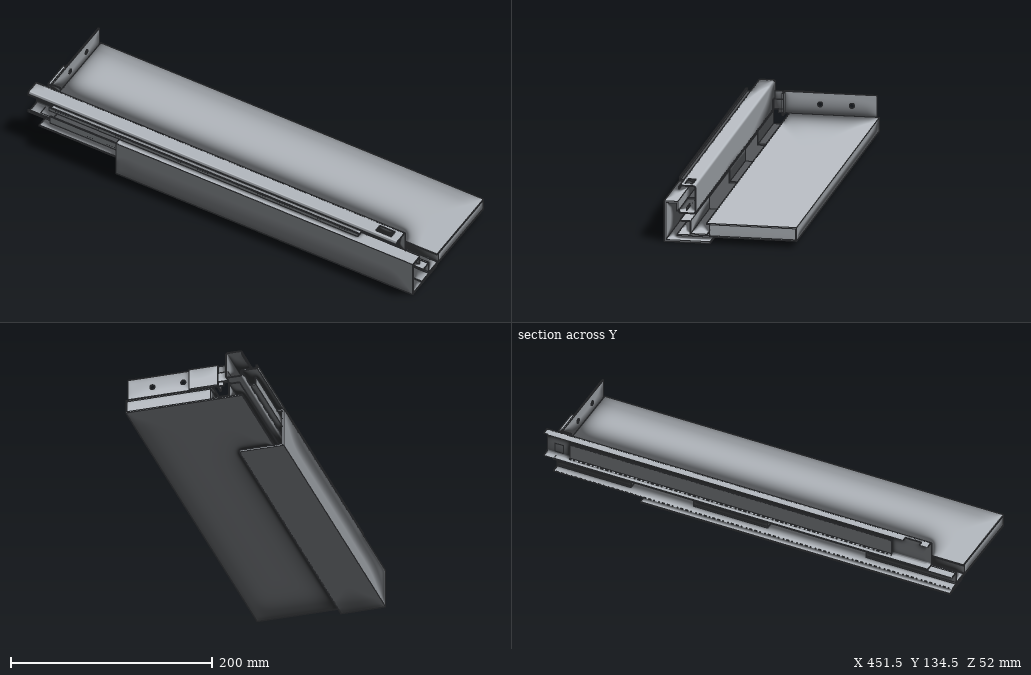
import cadquery as cq

total_length = 451.5
total_depth = 134.5
total_height = 52.0

floor_bottom = 7.0
panel_top = 21.0
front_top = 43.5
tray_start = 11.0
tray_front = 13.5
tray_sheet = 1.5
floor_top = floor_bottom + tray_sheet
rail_back = 27.5
rail_bottom = 23.0
rail_sheet = 1.0
rail_inner_face = rail_back - rail_sheet


def block(x_range, y_range, z_range):
    """Box between the given low and high X, Y and Z limits."""
    lengths = [high - low for low, high in (x_range, y_range, z_range)]
    corner = (x_range[0], y_range[0], z_range[0])
    return cq.Workplane("XY").box(*lengths, centered=False).translate(corner)


def sheet_section(outline, x_start, x_end):
    """Long part along X from a closed (y, z) outline."""
    plane = cq.Workplane("YZ", origin=(x_start, 0, 0))
    return plane.polyline(outline).close().extrude(x_end - x_start)


wall_start = 107.0
wall_end = 449.0
wall_sheet = 2.0
wall_foot_depth = 46.5
wall_top = 41.5
hook_depth = 14.0
hook_bottom = 31.5
hook_sheet = 1.5


def make_wall_rail():
    outline = [
        (0, 0),
        (wall_foot_depth, 0),
        (wall_foot_depth, wall_sheet),
        (wall_sheet, wall_sheet),
        (wall_sheet, wall_top - wall_sheet),
        (hook_depth - hook_sheet, wall_top - wall_sheet),
        (hook_depth - hook_sheet, hook_bottom),
        (hook_depth, hook_bottom),
        (hook_depth, wall_top),
        (0, wall_top),
    ]
    return sheet_section(outline, wall_start, wall_end)


middle_start = 28.5
middle_end = 384.0
middle_sheet = 1.5
middle_back = 20.8
middle_bottom = 27.5
middle_top = 47.0
upper_lip_front = 3.0
upper_lip_top = 49.5
lower_lip_front = 4.5
lower_lip_top = 36.0
middle_bend = 2.3
pick_margin = 0.5


def make_middle_rail():
    outline = [
        (lower_lip_front, lower_lip_top),
        (lower_lip_front, middle_bottom),
        (middle_back, middle_bottom),
        (middle_back, middle_top),
        (upper_lip_front + middle_sheet, middle_top),
        (upper_lip_front + middle_sheet, upper_lip_top),
        (upper_lip_front, upper_lip_top),
        (upper_lip_front, middle_top - middle_sheet),
        (middle_back - middle_sheet, middle_top - middle_sheet),
        (middle_back - middle_sheet, middle_bottom + middle_sheet),
        (lower_lip_front + middle_sheet, middle_bottom + middle_sheet),
        (lower_lip_front + middle_sheet, lower_lip_top),
    ]
    rail = sheet_section(outline, middle_start, middle_end)
    outer_corners = cq.selectors.BoxSelector(
        (middle_start, middle_back - pick_margin, middle_bottom - pick_margin),
        (middle_end, middle_back + pick_margin, middle_top + pick_margin),
    )
    return rail.edges("|X").edges(outer_corners).fillet(middle_bend)


rail_end = 424.5
rail_front = 10.0
rail_bend = 2.5
rail_lip = 4.0
window_x = (397.8, 415.5)
window_y = (15.0, 22.5)
stop_y = (16.3, 16.5)
stop_top = 26.5


def make_drawer_rail():
    outer = block((0, rail_end), (rail_front, rail_back), (rail_bottom, total_height))
    outer = outer.edges("|X").fillet(rail_bend)
    inner = block(
        (0, rail_end),
        (rail_front + rail_sheet, rail_inner_face),
        (rail_bottom + rail_sheet, total_height - rail_sheet),
    )
    inner = inner.edges("|X").fillet(rail_bend - rail_sheet)
    mouth = block(
        (0, rail_end),
        (rail_front, rail_front + rail_bend),
        (rail_bottom + rail_lip, total_height - rail_lip),
    )
    window = block(window_x, window_y, (total_height - rail_bend, total_height))
    stop = block(window_x, stop_y, (rail_bottom, stop_top))
    return outer.cut(inner).cut(mouth).cut(window).union(stop)


flange_front = 16.3
flange_sheet = 1.0
foot_back = 44.0
foot_sheet = 1.5
foot_spans = [(tray_start, 92.5), (161.5, 243.5), (352.0, total_length)]


def make_support():
    web_y = (rail_inner_face, rail_back)
    support = block(
        (tray_start, total_length),
        (flange_front, rail_back),
        (rail_bottom - flange_sheet, rail_bottom),
    )
    for span in foot_spans:
        tab = block(span, web_y, (floor_top, rail_bottom))
        foot = block(span, (rail_inner_face, foot_back), (floor_top, floor_top + foot_sheet))
        support = support.union(tab).union(foot)
    return support


panel_front = 43.5


def make_tray_sheet():
    outline = [
        (tray_front, floor_bottom),
        (total_depth, floor_bottom),
        (total_depth, panel_top),
        (panel_front, panel_top),
        (panel_front, panel_top - tray_sheet),
        (total_depth - tray_sheet, panel_top - tray_sheet),
        (total_depth - tray_sheet, floor_top),
        (tray_front, floor_top),
    ]
    return sheet_section(outline, tray_start, total_length)


core_front = 46.5


def make_core_board():
    return block(
        (tray_start, total_length),
        (core_front, total_depth - tray_sheet),
        (floor_top, panel_top - tray_sheet),
    )


plate_sheet = 1.5
plate_start = tray_start - plate_sheet
plate_y = (39.5, 132.0)
screw_hole_diameter = 5.0
screw_hole_z = 31.5
screw_hole_y = [74.5, 106.5]


def make_front_plate():
    plate = block((plate_start, tray_start), plate_y, (panel_top, front_top))
    holes = (
        cq.Workplane("YZ", origin=(plate_start, 0, 0))
        .pushPoints([(y, screw_hole_z) for y in screw_hole_y])
        .circle(screw_hole_diameter / 2)
        .extrude(plate_sheet)
    )
    return plate.cut(holes)


bracket_start = 6.8
bracket_side = 38.0
bracket_overlap = 67.5
side_flange_end = 20.5
tongue_y = (29.0, bracket_side)
tongue_bottom = 25.5
toe_y = 32.5
pad_x = (8.0, 12.0)
pad_top = 35.0
rail_flange_end = 17.0
rail_flange_sheet = 1.0


def make_corner_bracket():
    bracket_z = (panel_top, front_top)
    tongue_x = (plate_start, tray_start)
    pad_z = (tongue_bottom, pad_top)
    bracket = block((bracket_start, plate_start), (bracket_side, bracket_overlap), bracket_z)
    pieces = [
        block((plate_start, side_flange_end), (bracket_side, plate_y[0]), bracket_z),
        block(tongue_x, tongue_y, (tongue_bottom, front_top)),
        block(tongue_x, (toe_y, bracket_side), (panel_top, tongue_bottom)),
        block(pad_x, (rail_back, bracket_side), pad_z),
        block((pad_x[1], rail_flange_end), (rail_back, rail_back + rail_flange_sheet), pad_z),
    ]
    for piece in pieces:
        bracket = bracket.union(piece)
    return bracket


wall_rail = make_wall_rail()
middle_rail = make_middle_rail()
drawer_rail = make_drawer_rail()
support = make_support()
tray_sheet_body = make_tray_sheet()
core_board = make_core_board()
front_plate = make_front_plate()
corner_bracket = make_corner_bracket()

result = cq.Compound.makeCompound(
    [
        wall_rail.val(),
        middle_rail.val(),
        drawer_rail.val(),
        support.val(),
        tray_sheet_body.val(),
        core_board.val(),
        front_plate.val(),
        corner_bracket.val(),
    ]
)